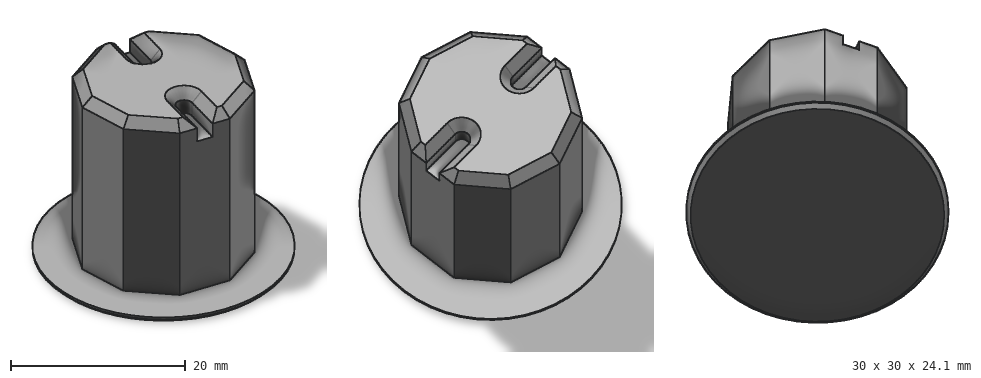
import cadquery as cq
import math

total_height = 24.1

flange_diameter = 30.0
flange_thickness = 0.8
flange_chamfer = 0.5

side_count = 10
across_flats = 20.0
across_corners = across_flats / math.cos(math.pi / side_count)
top_chamfer = 1.2

slot_width = 2.0
slot_depth = 3.0
slot_end_center = 5.0
slot_radius = slot_width / 2
slot_mouth_radius = slot_radius + top_chamfer
cut_overrun = 1.0
slot_run_out = across_flats / 2 - slot_end_center + cut_overrun


def make_flange():
    """Thin disc with a chamfered lower edge."""
    disc = cq.Workplane("XY").circle(flange_diameter / 2).extrude(flange_thickness)
    return disc.faces("<Z").edges().chamfer(flange_chamfer)


def make_body():
    """Decagonal prism with flats facing +X and -X and a chamfered top edge."""
    half_side_angle = 180.0 / side_count
    prism = (
        cq.Workplane("XY")
        .polygon(side_count, across_corners)
        .extrude(total_height)
        .rotate((0, 0, 0), (0, 0, 1), half_side_angle)
    )
    return prism.faces(">Z").edges().chamfer(top_chamfer)


def make_slot_cutter():
    """Round-ended slot toward +X whose upper part flares out at 45 degrees."""
    slot_floor = total_height - slot_depth
    flare_start = total_height - top_chamfer

    round_end = (
        cq.Workplane("XZ")
        .moveTo(0, slot_floor)
        .lineTo(slot_radius, slot_floor)
        .lineTo(slot_radius, flare_start)
        .lineTo(slot_mouth_radius, total_height)
        .lineTo(0, total_height)
        .close()
        .revolve(360, (0, 0), (0, 1))
    )
    channel = (
        cq.Workplane("YZ")
        .moveTo(-slot_radius, slot_floor)
        .lineTo(slot_radius, slot_floor)
        .lineTo(slot_radius, flare_start)
        .lineTo(slot_mouth_radius, total_height)
        .lineTo(-slot_mouth_radius, total_height)
        .lineTo(-slot_radius, flare_start)
        .close()
        .extrude(slot_run_out)
    )
    return round_end.union(channel).translate((slot_end_center, 0, 0))


result = make_flange().union(make_body())
for slot_angle in (0, 180):
    result = result.cut(make_slot_cutter().rotate((0, 0, 0), (0, 0, 1), slot_angle))